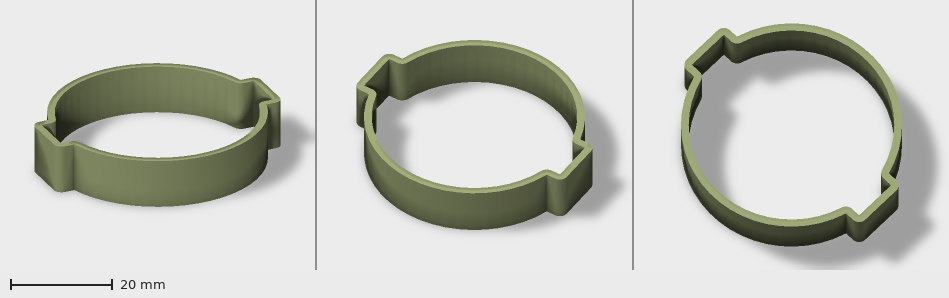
import cadquery as cq
import math

ring_diameter = 43.4
ear_span = 49.0
ear_width = 12.0
band_thickness = 1.5
band_height = 10.0
bend_radius = 0.15

outer_bend_radius = bend_radius + band_thickness


def eared_disc(diameter, span, width, corner_radius, root_radius):
    """Solid disc with two opposite ears, rounded at the ear corners and roots."""
    ears = (
        cq.Workplane("XY")
        .rect(width, span)
        .extrude(band_height)
        .edges("|Z")
        .fillet(corner_radius)
    )
    body = cq.Workplane("XY").circle(diameter / 2).extrude(band_height).union(ears)

    root_x = width / 2
    root_y = math.sqrt((diameter / 2) ** 2 - root_x ** 2)
    for x in (-root_x, root_x):
        for y in (-root_y, root_y):
            root_edge = cq.selectors.NearestToPointSelector((x, y, band_height / 2))
            body = body.edges("|Z").edges(root_edge).fillet(root_radius)
    return body


outside = eared_disc(
    ring_diameter, ear_span, ear_width, outer_bend_radius, bend_radius
)
inside = eared_disc(
    ring_diameter - 2 * band_thickness,
    ear_span - 2 * band_thickness,
    ear_width - 2 * band_thickness,
    bend_radius,
    outer_bend_radius,
)

result = outside.cut(inside)